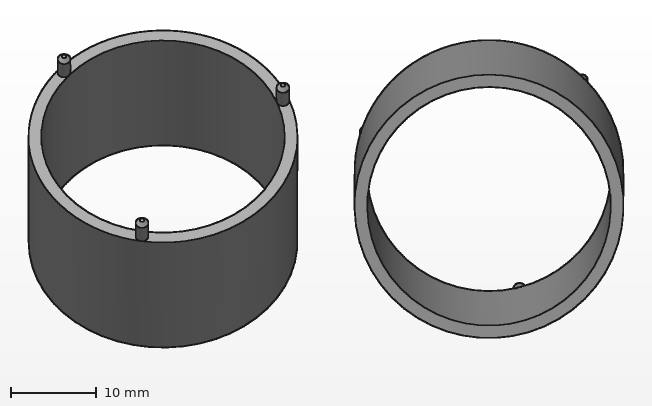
import cadquery as cq

outer_diameter = 31.48
inner_diameter = 28.5
ring_height = 20.0

pin_count = 3
first_pin_angle = 95.0
pin_diameter = 1.5
pin_straight_height = 2.52
pin_tip_height = 0.5
pin_tip_diameter = 0.5
pin_circle_radius = (outer_diameter - pin_diameter) / 2


def make_ring():
    """Plain tube standing on the XY plane."""
    return (
        cq.Workplane("XY")
        .circle(outer_diameter / 2)
        .circle(inner_diameter / 2)
        .extrude(ring_height)
    )


def make_pin():
    """Pin with a conical, flat-ended tip."""
    pin_radius = pin_diameter / 2
    tip_radius = pin_tip_diameter / 2
    full_height = pin_straight_height + pin_tip_height
    return (
        cq.Workplane("XZ")
        .polyline([
            (0, 0),
            (pin_radius, 0),
            (pin_radius, pin_straight_height),
            (tip_radius, full_height),
            (0, full_height),
        ])
        .close()
        .revolve(360, (0, 0), (0, 1))
    )


result = make_ring()
for index in range(pin_count):
    angle = first_pin_angle + index * 360 / pin_count
    pin = make_pin().translate((pin_circle_radius, 0, ring_height))
    result = result.union(pin.rotate((0, 0, 0), (0, 0, 1), angle))